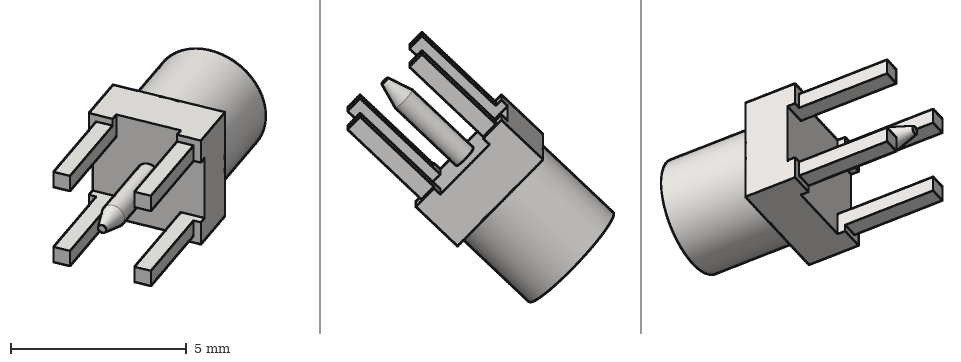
import cadquery as cq

total_length = 7.37
width = 3.5
barrel_length = 2.8
body_length = 1.65
foot_height = 0.25
leg_side = 0.515
leg_inset = 0.23
pin_diameter = 0.715
pin_tip_diameter = 0.26
pin_taper_length = 0.75

foot_side = leg_inset + leg_side
leg_length = total_length - barrel_length - body_length
block_length = body_length - foot_height
pin_length = leg_length + foot_height
foot_center = (width - foot_side) / 2
leg_center = (width - leg_side) / 2 - leg_inset
block_face_y = pin_length
feet_face_y = leg_length
barrel_start_y = leg_length + body_length


def plane_at(y):
    """Plane across the part's axis, with its normal towards -Y."""
    return cq.Workplane("XZ", origin=(0, y, 0))


def square_posts(start_y, length, side, center):
    """Four square posts at the corners, running from start_y towards +Y."""
    corners = [(x * center, z * center) for x in (-1, 1) for z in (-1, 1)]
    return plane_at(start_y).pushPoints(corners).rect(side, side).extrude(-length)


def contact_pin():
    """Round center pin with a tapered, blunt tip at y = 0."""
    outline = [
        (0, 0),
        (pin_tip_diameter / 2, 0),
        (pin_diameter / 2, pin_taper_length),
        (pin_diameter / 2, pin_length),
        (0, pin_length),
    ]
    return cq.Workplane("XY").polyline(outline).close().revolve(360, (0, 0), (0, 1))


block = plane_at(block_face_y).rect(width, width).extrude(-block_length)
barrel = plane_at(barrel_start_y).circle(width / 2).extrude(-barrel_length)
feet = square_posts(feet_face_y, foot_height, foot_side, foot_center)
legs = square_posts(0, leg_length, leg_side, leg_center)

result = block.union(barrel).union(feet).union(legs).union(contact_pin())